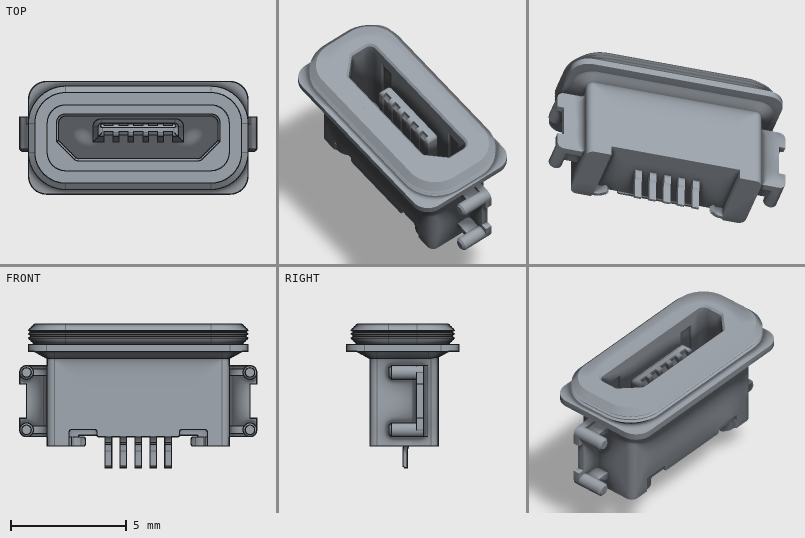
import cadquery as cq
import math


top_z = 5.31
seal_height = 0.9
flange_thickness = 0.3
cone_height = 0.31
flange_top_z = top_z - seal_height
flange_bottom_z = flange_top_z - flange_thickness
cone_bottom_z = flange_bottom_z - cone_height

flange_length, flange_width, flange_radius = 9.54, 4.9, 0.79
neck_length, neck_width, neck_radius = 7.91, 2.86, 0.8
cone_spread = 0.57

seal_overhang = 0.81
seal_chamfer = 0.28
lip_depth = 0.09
lip_slope = 0.06
lip_drops = [seal_chamfer, 0.43, seal_height - seal_chamfer]

front_y = -neck_width / 2
back_y = 1.55
side_x = neck_length / 2
block_radius = 0.32

cavity_half_length = 3.46
cavity_back_y = 0.95
cavity_front_y = -0.91
cavity_slant = 0.79
cavity_back_radius = 0.31
cavity_front_radius = 0.15
cavity_chamfer = 0.09
cavity_floor_z = 1.24

window_center_x = 2.37
window_width = 0.72
window_depth = 0.14
window_top_z = 4.6

tongue_half_length = 1.74
tongue_front_y = 0.05
tongue_back_y = 0.64
tongue_top_z = 4.37
tongue_rounding = 0.19
tongue_end_radius = 0.15
tongue_bevel_run, tongue_bevel_drop = 0.19, 0.08
foot_spread = 0.23
foot_back_spread = 0.19
foot_radius = 0.35

contact_count = 5
contact_pitch = 0.65
slot_width = 0.39
slot_back_y = 0.27
contact_front_y = 0.12
contact_top_z = 4.17
edge_notch_y = 0.54
pin_width = 0.3
pin_thickness = 0.21
pin_bottom_z = -0.94
pin_tip_chamfer = 0.08
pin_bend_end_z = -0.21
pin_bend_start_z = 0.07
pin_bend_radius = 0.67
pin_shoulder_z = 0.16
pin_shoulder_y = 0.02

opening_top_z = 0.47
skirt_bottom_z = 0.4
skirt_thickness = 0.09
opening_half_length = 3.0
notch_inner_x = 1.79
notch_top_z = 0.72
notch_radius = 0.09

tab_thickness = 0.15
tab_bend_x = 2.83
tab_bend_radius = 0.57
tab_bend_angle = math.radians(38)
tab_leg = 0.26
tab_end_chamfer = 0.08
tab_neck_inner_x = 2.58

overall_half_length = 5.15
peg_diameter = 0.6
peg_tip_y = -0.59
peg_chamfer = 0.09
peg_low_z, peg_high_z = 0.71, 3.2
wing_front_y, wing_back_y = 0.61, 0.91
wing_fillet_front, wing_fillet_back = 0.15, 0.18
wing_notch_x = 4.86
wing_notch_low_z, wing_notch_high_z = 1.22, 2.7
arm_front_y = -0.02
arm_spans = [(0.56, 0.88), (3.08, 3.35)]

peg_radius = peg_diameter / 2
peg_x = overall_half_length - peg_radius
skirt_back_y = front_y + skirt_thickness
jamb_back_x = opening_half_length - skirt_thickness
contact_xs = [(i - (contact_count - 1) / 2) * contact_pitch for i in range(contact_count)]
sides = (-1, 1)


def block(x0, x1, y0, y1, z0, z1):
    """Box between two opposite corners, given in any order along X."""
    corner = (min(x0, x1), y0, z0)
    return cq.Workplane("XY").box(abs(x1 - x0), y1 - y0, z1 - z0, centered=False).translate(corner)


def rounded_frustum(low_z, low_offset, high_z, high_offset, radius=neck_radius):
    """Straight-sided layer between two outlines offset outwards from the neck outline."""
    low = cq.Sketch().rect(neck_length + 2 * low_offset, neck_width + 2 * low_offset)
    high = cq.Sketch().rect(neck_length + 2 * high_offset, neck_width + 2 * high_offset)
    low = low.vertices().fillet(radius + low_offset)
    high = high.vertices().fillet(radius + high_offset)
    layer = cq.Workplane("XY").placeSketch(
        low.moved(cq.Location(cq.Vector(0, 0, low_z))),
        high.moved(cq.Location(cq.Vector(0, 0, high_z))),
    )
    return layer.loft(ruled=True)


def rounded_plate(length, width, radius, z0, z1):
    plate = cq.Workplane("XY").workplane(offset=z0).rect(length, width).extrude(z1 - z0)
    return plate.edges("|Z").fillet(radius)


def neck():
    return rounded_plate(neck_length, neck_width, neck_radius, flange_bottom_z, top_z)


def make_seal():
    outer = seal_overhang
    inner = seal_overhang - lip_depth
    levels = [(0, outer - seal_chamfer)]
    for drop in lip_drops:
        if drop != lip_drops[0]:
            levels.append((drop - lip_slope, inner))
        levels.append((drop, outer))
        if drop != lip_drops[-1]:
            levels.append((drop + lip_slope, inner))
    levels.append((seal_height, outer - seal_chamfer))

    ring = cq.Workplane("XY")
    for (high_drop, high_offset), (low_drop, low_offset) in zip(levels, levels[1:]):
        ring = ring.union(rounded_frustum(top_z - low_drop, low_offset, top_z - high_drop, high_offset))
    return ring.cut(neck())


def housing_shell():
    main = block(-side_x, side_x, front_y, back_y, 0, flange_bottom_z).edges("|Z").fillet(block_radius)
    cone = rounded_frustum(cone_bottom_z, 0, flange_bottom_z, cone_spread, block_radius)
    flange = rounded_plate(flange_length, flange_width, flange_radius, flange_bottom_z, flange_top_z)
    return main.union(cone).union(flange).union(neck())


def cavity():
    slant_y = cavity_front_y + cavity_slant
    slant_x = cavity_half_length - cavity_slant
    corners = [
        (-cavity_half_length, cavity_back_y),
        (-cavity_half_length, slant_y),
        (-slant_x, cavity_front_y),
        (slant_x, cavity_front_y),
        (cavity_half_length, slant_y),
        (cavity_half_length, cavity_back_y),
    ]
    outline = cq.Sketch().polygon(corners + corners[:1])
    outline = outline.vertices(">Y").fillet(cavity_back_radius)
    outline = outline.reset().vertices("<Y").fillet(cavity_front_radius)
    hole = cq.Workplane("XY").workplane(offset=cavity_floor_z).placeSketch(outline)
    hole = hole.extrude(top_z - cavity_floor_z)
    rim = cq.Workplane("XY").workplane(offset=top_z - cavity_chamfer).placeSketch(outline)
    rim = rim.extrude(cavity_chamfer, taper=-45)
    return hole.union(rim)


def latch_window(side):
    x = side * window_center_x
    return block(x - window_width / 2, x + window_width / 2, cavity_back_y - window_depth,
                 cavity_back_y + window_depth, cavity_floor_z, window_top_z)


def tongue_foot():
    """Sloped base: 45 degrees at the ends and the front, steeper at the back."""
    low_y = tongue_front_y - foot_spread
    high_y = tongue_back_y + foot_back_spread
    low = cq.Sketch().push([(0, (low_y + high_y) / 2)])
    low = low.rect(2 * (tongue_half_length + foot_spread), high_y - low_y)
    low = low.reset().vertices(">Y").fillet(foot_radius)
    high = cq.Sketch().push([(0, (tongue_front_y + tongue_back_y) / 2)])
    high = high.rect(2 * tongue_half_length, tongue_back_y - tongue_front_y)
    high = high.reset().vertices(">Y").fillet(tongue_end_radius)
    foot = cq.Workplane("XY").placeSketch(
        low.moved(cq.Location(cq.Vector(0, 0, cavity_floor_z))),
        high.moved(cq.Location(cq.Vector(0, 0, cavity_floor_z + foot_spread))),
    )
    return foot.loft(ruled=True)


def tongue():
    body = block(-tongue_half_length, tongue_half_length, tongue_front_y, tongue_back_y,
                 cavity_floor_z, tongue_top_z)
    body = body.edges("|Z and >Y").fillet(tongue_end_radius)
    body = body.edges(">Z").edges("<Y or <X or >X").fillet(tongue_rounding)
    bevel = cq.Workplane("YZ").polyline([
        (tongue_back_y, tongue_top_z),
        (tongue_back_y - tongue_bevel_run, tongue_top_z),
        (tongue_back_y, tongue_top_z - tongue_bevel_drop),
    ]).close().extrude(tongue_half_length, both=True)
    return body.cut(bevel).union(tongue_foot())


def contact_slot(x):
    half = slot_width / 2
    slot = block(x - half, x + half, front_y, slot_back_y, cavity_floor_z, tongue_top_z)
    notch = block(x - half, x + half, edge_notch_y, tongue_back_y,
                  tongue_top_z - tongue_bevel_drop, tongue_top_z)
    return slot.intersect(cavity()).union(notch)


def contact(x):
    """Contact blade that lines the back of a slot, with a 45 degree lead-in at its tip."""
    tip_bevel = slot_back_y - contact_front_y
    profile = [
        (slot_back_y, cavity_floor_z),
        (slot_back_y, contact_top_z),
        (contact_front_y, contact_top_z - tip_bevel),
        (contact_front_y, cavity_floor_z),
    ]
    blade = cq.Workplane("YZ").polyline(profile).close().extrude(slot_width / 2, both=True)
    return blade.translate((x, 0, 0))


def opening():
    """Space under the housing, open to the front and the back between the jambs."""
    plan = [
        (-opening_half_length, front_y),
        (-jamb_back_x, skirt_back_y),
        (-jamb_back_x, back_y),
        (jamb_back_x, back_y),
        (jamb_back_x, skirt_back_y),
        (opening_half_length, front_y),
    ]
    low = cq.Workplane("XY").polyline(plan).close().extrude(skirt_bottom_z)
    high = block(-jamb_back_x, jamb_back_x, skirt_back_y, back_y, skirt_bottom_z, opening_top_z)
    return low.union(high)


def wall_notch(side):
    """Round-cornered notch through the front skirt."""
    outer_x = side * opening_half_length
    inner_x = side * notch_inner_x
    notch = block(outer_x, inner_x, front_y, skirt_back_y, skirt_bottom_z, notch_top_z)
    notch = notch.edges("|Y and >Z").fillet(notch_radius)
    relief_x = inner_x - side * notch_radius
    relief = block(inner_x, relief_x, front_y, skirt_back_y, skirt_bottom_z, skirt_bottom_z + notch_radius)
    round_lip = cq.Workplane("XZ").center(relief_x, skirt_bottom_z + notch_radius)
    round_lip = round_lip.circle(notch_radius).extrude(-side_x, both=True)
    return notch.union(relief.cut(round_lip))


def tab(side):
    """Sheet tab that leaves the jamb, bends inwards and ends in a straight leg."""
    bend_center_y = skirt_back_y + tab_bend_radius
    inner_radius = tab_bend_radius - tab_thickness

    def on_bend(radius, angle):
        return (tab_bend_x - radius * math.sin(angle), bend_center_y - radius * math.cos(angle))

    def leg_end(radius):
        x, y = on_bend(radius, tab_bend_angle)
        return (x - tab_leg * math.cos(tab_bend_angle), y + tab_leg * math.sin(tab_bend_angle))

    root_x = opening_half_length
    half_angle = tab_bend_angle / 2
    strip = (
        cq.Workplane("XY")
        .moveTo(root_x, skirt_back_y)
        .lineTo(tab_bend_x, skirt_back_y)
        .threePointArc(on_bend(tab_bend_radius, half_angle), on_bend(tab_bend_radius, tab_bend_angle))
        .lineTo(*leg_end(tab_bend_radius))
        .lineTo(*leg_end(inner_radius))
        .lineTo(*on_bend(inner_radius, tab_bend_angle))
        .threePointArc(on_bend(inner_radius, half_angle), on_bend(inner_radius, 0))
        .lineTo(root_x, skirt_back_y + tab_thickness)
        .close()
        .extrude(skirt_bottom_z)
    )
    strip = strip.faces("<X").edges("<Z or >Z").chamfer(tab_end_chamfer)
    tab_neck = block(tab_neck_inner_x, jamb_back_x, skirt_back_y, skirt_back_y + tab_thickness,
                  skirt_bottom_z, opening_top_z)
    piece = strip.union(tab_neck)
    return piece if side > 0 else piece.mirror("YZ")


def solder_pin(x):
    """Pin leg with a shallow S-bend just below the housing."""
    center_y = pin_bend_radius
    inner_radius = pin_bend_radius - pin_thickness

    def on_bend(radius, z):
        return (center_y - math.sqrt(radius**2 - (z - pin_bend_end_z) ** 2), z)

    bend_mid_z = (pin_bend_start_z + pin_bend_end_z) / 2
    profile = (
        cq.Workplane("YZ")
        .moveTo(pin_shoulder_y, opening_top_z)
        .lineTo(pin_shoulder_y, pin_shoulder_z)
        .lineTo(*on_bend(pin_bend_radius, pin_bend_start_z))
        .threePointArc(on_bend(pin_bend_radius, bend_mid_z), (0, pin_bend_end_z))
        .lineTo(0, pin_bottom_z + pin_tip_chamfer)
        .lineTo(pin_tip_chamfer, pin_bottom_z)
        .lineTo(pin_thickness, pin_bottom_z)
        .lineTo(pin_thickness, pin_bend_end_z)
        .threePointArc(on_bend(inner_radius, bend_mid_z), on_bend(inner_radius, pin_bend_start_z))
        .lineTo(on_bend(inner_radius, pin_bend_start_z)[0], opening_top_z)
        .close()
    )
    return profile.extrude(pin_width / 2, both=True).translate((x, 0, 0))


def wing(side):
    """Side plate with fillets into the housing, two pegs and two stiffening arms."""
    low_z, high_z = peg_low_z - peg_radius, peg_high_z + peg_radius
    wall_x = side * side_x
    tip_x = side * overall_half_length
    peg_line_x = side * peg_x
    plate = block(wall_x, tip_x, wing_front_y, wing_back_y, peg_low_z, peg_high_z)
    plate = plate.union(block(wall_x, peg_line_x, wing_front_y, wing_back_y, low_z, high_z))
    plate = plate.cut(block(side * wing_notch_x, tip_x, wing_front_y, wing_back_y,
                            wing_notch_low_z, wing_notch_high_z))

    root_fillets = [(wing_front_y, wing_fillet_front, -1), (wing_back_y, wing_fillet_back, 1)]
    for face_y, radius, outward in root_fillets:
        edge_y = face_y + outward * radius
        edge_x = wall_x + side * radius
        corner = block(wall_x, edge_x, min(face_y, edge_y), max(face_y, edge_y), low_z, high_z)
        hollow = cq.Workplane("XY").workplane(offset=low_z).center(edge_x, edge_y)
        plate = plate.union(corner.cut(hollow.circle(radius).extrude(high_z - low_z)))

    for peg_z in (peg_low_z, peg_high_z):
        peg = cq.Workplane("XZ", origin=(peg_line_x, wing_back_y, peg_z)).circle(peg_radius)
        peg = peg.extrude(wing_back_y - peg_tip_y).faces("<Y").chamfer(peg_chamfer)
        plate = plate.union(peg)

    for arm_low_z, arm_high_z in arm_spans:
        plate = plate.union(block(wall_x, peg_line_x, arm_front_y, wing_front_y, arm_low_z, arm_high_z))
    return plate


def make_housing():
    body = housing_shell().cut(cavity()).union(tongue()).cut(opening())
    for side in sides:
        body = body.cut(latch_window(side)).cut(wall_notch(side))
        body = body.union(wing(side)).union(tab(side))
    for x in contact_xs:
        body = body.cut(contact_slot(x)).union(contact(x)).union(solder_pin(x))
    return body


seal = make_seal()
housing = make_housing()
result = cq.Compound.makeCompound([seal.val(), housing.val()])